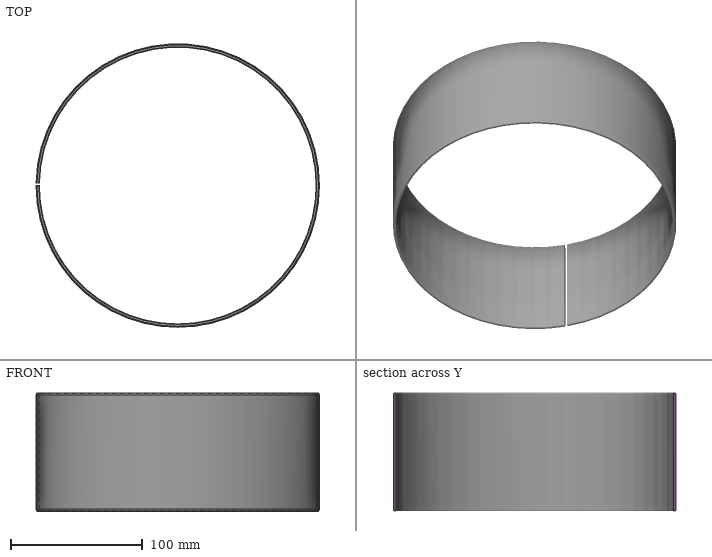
import cadquery as cq
import math

OUTER_DIAMETER = 215.0
HEIGHT = 90.0
WALL = 2.5
OUTER_TAPER_HEIGHT = 1.8
OUTER_TAPER_ANGLE = 20.0
INNER_TAPER_HEIGHT = 0.6
INNER_TAPER_ANGLE = 30.0
SLIT_ANGLE = 1.0

outer_radius = OUTER_DIAMETER / 2
inner_radius = outer_radius - WALL


def taper_depth(height, angle):
    """Radial depth of a rim taper that leans away from the vertical by the given angle."""
    return height * math.tan(math.radians(angle))


def make_band():
    """Thin cylindrical band whose wall is tapered on both faces towards each rim."""
    rim_outer = outer_radius - taper_depth(OUTER_TAPER_HEIGHT, OUTER_TAPER_ANGLE)
    rim_inner = inner_radius + taper_depth(INNER_TAPER_HEIGHT, INNER_TAPER_ANGLE)
    wall_section = [
        (outer_radius, OUTER_TAPER_HEIGHT),
        (outer_radius, HEIGHT - OUTER_TAPER_HEIGHT),
        (rim_outer, HEIGHT),
        (rim_inner, HEIGHT),
        (inner_radius, HEIGHT - INNER_TAPER_HEIGHT),
        (inner_radius, INNER_TAPER_HEIGHT),
        (rim_inner, 0),
        (rim_outer, 0),
    ]
    axis_start = (0, 0)
    axis_end = (0, 1)
    return cq.Workplane("XZ").polyline(wall_section).close().revolve(360, axis_start, axis_end)


def make_slit():
    """Full-height radial wedge through the -X wall, with one face on the Y = 0 plane."""
    reach = OUTER_DIAMETER
    far_width = reach * math.tan(math.radians(SLIT_ANGLE))
    wedge = [(0, 0), (-reach, 0), (-reach, far_width)]
    return cq.Workplane("XY").polyline(wedge).close().extrude(HEIGHT)


result = make_band().cut(make_slit())